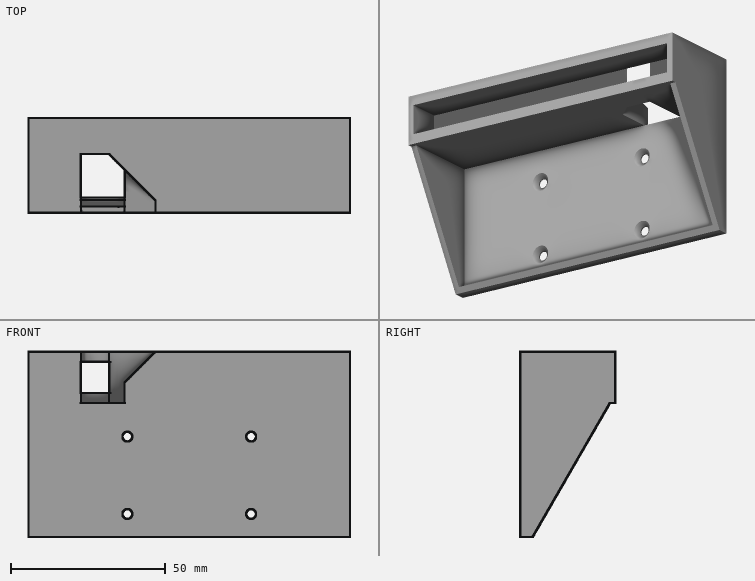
import cadquery as cq
import math

length = 104.0
height = 60.0
wall = 2.0

slope_angle = math.radians(30)
slope_length = 50.0
base_depth = 4.0
slope_rise = slope_length * math.cos(slope_angle)
slope_run = slope_length * math.sin(slope_angle)
rear_lip = wall * math.cos(slope_angle)
depth = base_depth + slope_run + rear_lip

rim_width = 2.0
rim_depth = 1.0

channel_front = 19.0
channel_height = 10.0
channel_middle = (slope_rise + height) / 2

notch_left = 17.0
notch_back_width = 9.1
notch_front_width = 14.1
notch_flare = 10.0
notch_taper = 15.0

hole_diameter = 3.1
hole_neck = 0.5
hole_bottom = 7.5
hole_pitch_x = 40.0
hole_pitch_z = 25.0


def side_prism(points, x_start, x_end):
    """Extrude a (Y, Z) outline along X."""
    outline = cq.Workplane("YZ").workplane(offset=x_start).polyline(points).close()
    return outline.extrude(x_end - x_start)


def make_body():
    return side_prism(
        [
            (0, 0),
            (base_depth, 0),
            (base_depth + slope_run, slope_rise),
            (depth, slope_rise),
            (depth, height),
            (0, height),
        ],
        0,
        length,
    )


def make_cavity():
    """Space behind the front wall, open through the sloped rear."""
    rim_outer_y = base_depth + rim_width * math.sin(slope_angle)
    rim_outer_z = rim_width * math.cos(slope_angle)
    rim_inner_y = rim_outer_y - rim_depth * math.cos(slope_angle)
    rim_inner_z = rim_outer_z + rim_depth * math.sin(slope_angle)
    return side_prism(
        [
            (wall, rim_inner_z),
            (rim_inner_y, rim_inner_z),
            (rim_outer_y, rim_outer_z),
            (base_depth + slope_run, slope_rise),
            (wall, slope_rise),
        ],
        wall,
        length - wall,
    )


def make_channel():
    z_low = channel_middle - channel_height / 2
    z_high = channel_middle + channel_height / 2
    return side_prism(
        [(channel_front, z_low), (depth, z_low), (depth, z_high), (channel_front, z_high)],
        wall,
        length - wall,
    )


def make_notch():
    """Volume shared by the notch's plan outline and its front outline."""
    taper_start = notch_left + notch_back_width
    taper_end = taper_start + notch_taper
    straight_right = notch_left + notch_front_width
    plan = (
        cq.Workplane("XY")
        .polyline(
            [
                (notch_left, 0),
                (taper_end, 0),
                (taper_end, channel_front - notch_taper),
                (taper_start, channel_front),
                (notch_left, channel_front),
            ]
        )
        .close()
        .extrude(height)
    )
    elevation = (
        cq.Workplane("XZ")
        .polyline(
            [
                (notch_left, slope_rise),
                (straight_right, slope_rise),
                (straight_right, height - notch_flare),
                (straight_right + notch_flare, height),
                (notch_left, height),
            ]
        )
        .close()
        .extrude(-depth)
    )
    return plan.intersect(elevation)


def make_hole_cutter():
    """Screw hole along +Y from the origin, countersunk on the inside of the front wall."""
    neck_radius = hole_diameter / 2
    head_radius = neck_radius + wall - hole_neck
    return (
        cq.Workplane("XY")
        .polyline([(0, 0), (neck_radius, 0), (neck_radius, hole_neck), (head_radius, wall), (0, wall)])
        .close()
        .revolve(360, (0, 0, 0), (0, 1, 0))
    )


result = make_body().cut(make_cavity()).cut(make_channel()).cut(make_notch())

hole_cutter = make_hole_cutter()
for hole_x in (length / 2 - hole_pitch_x / 2, length / 2 + hole_pitch_x / 2):
    for hole_z in (hole_bottom, hole_bottom + hole_pitch_z):
        result = result.cut(hole_cutter.translate((hole_x, 0, hole_z)))